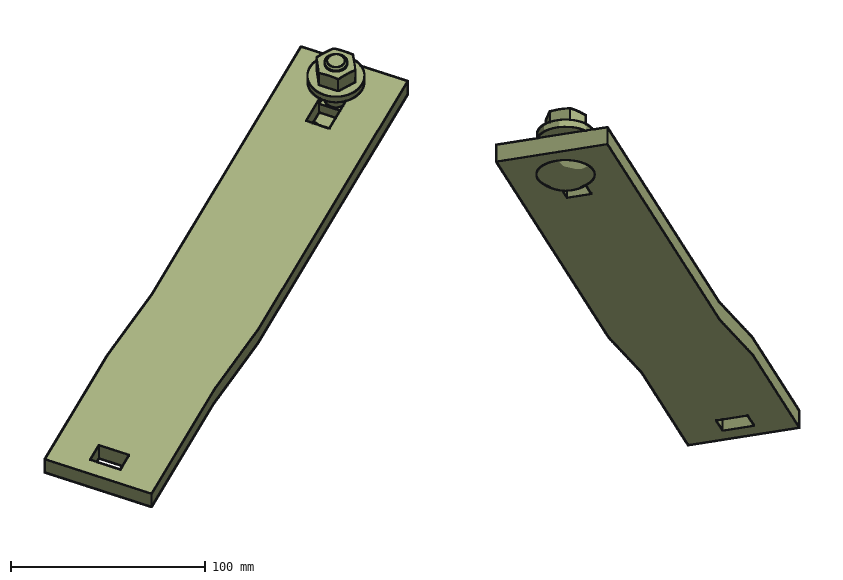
import cadquery as cq
import math

strap_length = 326.7
strap_width = 60.0
strap_thickness = 10.0
crank_rise = 9.8
low_bend_from_end = 191.0
crank_angle = 9.9
bend_inner_radius = 5.2
bend_outer_radius = 21.0

slot_width = 13.0
slot_length = 29.7
end_hole_width = 17.0
end_hole_length = 11.0
end_hole_from_end = 14.7

bolt_from_end = 23.5
shank_radius = 6.0
head_radius = 15.0
head_height = 6.5
neck_height = 6.5
tip_projection = 2.0
tip_chamfer = 1.3

washer_radius = 14.7
washer_thickness = 4.2
nut_across_flats = 19.0
nut_height = 9.5
nut_chamfer_angle = 15.0
nut_across_corners = nut_across_flats / math.cos(math.pi / 6)

low_end_y = strap_length / 2
high_end_y = -strap_length / 2
low_bend_y = low_end_y - low_bend_from_end
high_bend_y = low_bend_y - crank_rise / math.tan(math.radians(crank_angle))
bend_shift = strap_thickness * math.tan(math.radians(crank_angle / 2))
bolt_y = low_end_y - bolt_from_end
slot_y = bolt_y + slot_width / 2 - slot_length / 2
washer_z = strap_thickness + crank_rise
nut_z = washer_z + washer_thickness
bolt_top_z = nut_z + nut_height + tip_projection


def bend_edge(y, z):
    """Selector for the edge across the strap at one bend corner."""
    reach = 0.3
    half = strap_width / 2 + reach
    return cq.selectors.BoxSelector((-half, y - reach, z - reach), (half, y + reach, z + reach))


def make_strap():
    top_z = strap_thickness
    low_bend_top_y = low_bend_y + bend_shift
    high_bend_top_y = high_bend_y + bend_shift
    strap = (
        cq.Workplane("YZ")
        .polyline([
            (low_end_y, 0),
            (low_bend_y, 0),
            (high_bend_y, crank_rise),
            (high_end_y, crank_rise),
            (high_end_y, crank_rise + top_z),
            (high_bend_top_y, crank_rise + top_z),
            (low_bend_top_y, top_z),
            (low_end_y, top_z),
        ])
        .close()
        .extrude(strap_width / 2, both=True)
    )
    bends = [
        (low_bend_y, 0, bend_outer_radius),
        (low_bend_top_y, top_z, bend_inner_radius),
        (high_bend_y, crank_rise, bend_inner_radius),
        (high_bend_top_y, crank_rise + top_z, bend_outer_radius),
    ]
    for y, z, radius in bends:
        strap = strap.edges(bend_edge(y, z)).fillet(radius)

    slot = (
        cq.Workplane("XY")
        .center(0, slot_y)
        .rect(slot_width, slot_length)
        .extrude(strap_thickness)
    )
    end_hole = (
        cq.Workplane("XY", origin=(0, high_end_y + end_hole_from_end, crank_rise))
        .rect(end_hole_width, end_hole_length)
        .extrude(strap_thickness)
    )
    return strap.cut(slot).cut(end_hole)


def make_bolt():
    dome_radius = (head_radius**2 + head_height**2) / (2 * head_height)
    arc_x = head_radius / 2
    arc_z = dome_radius - head_height - math.sqrt(dome_radius**2 - arc_x**2)
    head = (
        cq.Workplane("XZ", origin=(0, bolt_y, 0))
        .lineTo(head_radius, 0)
        .threePointArc((arc_x, arc_z), (0, -head_height))
        .close()
        .revolve(360, (0, 0), (0, 1))
    )
    neck = (
        cq.Workplane("XY", origin=(0, bolt_y, 0))
        .rect(slot_width, slot_width)
        .extrude(neck_height)
    )
    shank = (
        cq.Workplane("XY", origin=(0, bolt_y, 0))
        .circle(shank_radius)
        .extrude(bolt_top_z)
        .faces(">Z")
        .chamfer(tip_chamfer)
    )
    return head.union(neck).union(shank)


def make_washer():
    return (
        cq.Workplane("XY", origin=(0, bolt_y, washer_z))
        .circle(washer_radius)
        .circle(shank_radius)
        .extrude(washer_thickness)
    )


def make_nut():
    blank = (
        cq.Workplane("XY", origin=(0, bolt_y, nut_z))
        .polygon(6, nut_across_corners)
        .circle(shank_radius)
        .extrude(nut_height)
    )
    corner_reach = (nut_across_corners - nut_across_flats) / 2
    corner_drop = corner_reach * math.tan(math.radians(nut_chamfer_angle))
    envelope = (
        cq.Workplane("XY", origin=(0, bolt_y, nut_z))
        .circle(nut_across_corners / 2)
        .extrude(nut_height)
        .faces(">Z")
        .chamfer(corner_drop, corner_reach)
    )
    return blank.intersect(envelope)


strap = make_strap()
bolt = make_bolt()
washer = make_washer()
nut = make_nut()

result = cq.Compound.makeCompound([strap.val(), bolt.val(), washer.val(), nut.val()])